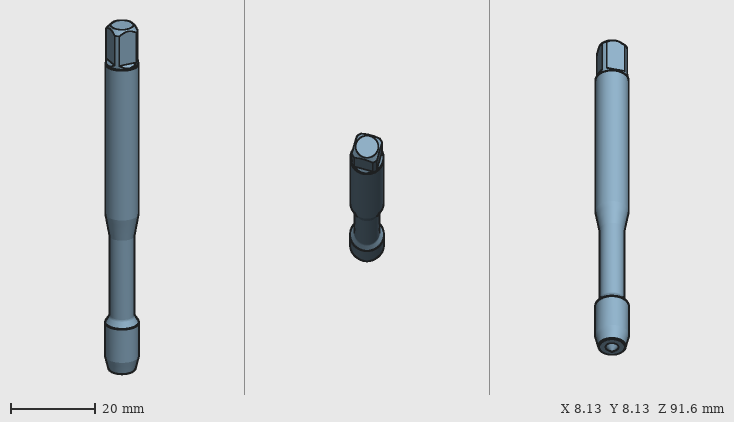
import cadquery as cq
import math


shank_diameter = 8.0
neck_diameter = 6.0
shank_end = 90.0
shank_top = 80.1
shank_chamfer_height = 0.28
shank_bottom = 40.7
neck_top = 34.95

square_size = 6.2
square_corner_diameter = 7.68
square_length = 9.0
square_runout = (square_corner_diameter - square_size) / 2
flat_count = 4
top_face_diameter = 5.4
top_chamfer_height = 1.25

head_diameter = 8.13
head_length = 12.15
lead_length = 3.5
lead_end_diameter = 6.55
head_end_chamfer = 0.25
point_height = 1.55
point_angle = 90.0

collar_height = 0.25
shoulder_angle = 32.0
shoulder_fillet = 0.8
shoulder_height = (shank_diameter - neck_diameter) / 2 / math.tan(math.radians(shoulder_angle))
neck_bottom = head_length + collar_height + shoulder_height


def revolve_profile(points):
    """Turn a half outline of (radius, height) points about the Z axis."""
    return cq.Workplane("XZ").polyline(points).close().revolve(360, (0, 0), (0, 1))


def make_flat_cutter():
    """Material removed at +X to leave one flat of the square, with its sloped runout."""
    flat = square_size / 2
    reach = square_corner_diameter / 2
    flat_bottom = shank_end - square_length
    outline = [
        (flat, shank_end),
        (flat, flat_bottom),
        (reach, flat_bottom - square_runout),
        (reach, shank_end),
    ]
    return cq.Workplane("XZ").polyline(outline).close().extrude(reach, both=True)


def make_shank():
    """Shank with its neck and shoulder below and the driving square on top."""
    body = revolve_profile([
        (0, head_length),
        (shank_diameter / 2, head_length),
        (shank_diameter / 2, head_length + collar_height),
        (neck_diameter / 2, neck_bottom),
        (neck_diameter / 2, neck_top),
        (shank_diameter / 2, shank_bottom),
        (shank_diameter / 2, shank_top - shank_chamfer_height),
        (square_corner_diameter / 2, shank_top),
        (square_corner_diameter / 2, shank_end - top_chamfer_height),
        (top_face_diameter / 2, shank_end),
        (0, shank_end),
    ])

    neck_foot = cq.selectors.BoxSelector(
        (-shank_diameter, -shank_diameter, neck_bottom - shoulder_fillet),
        (shank_diameter, shank_diameter, neck_bottom + shoulder_fillet),
        boundingbox=True,
    )
    body = body.edges(neck_foot).fillet(shoulder_fillet)

    for side in range(flat_count):
        turn = side * 360 / flat_count
        body = body.cut(make_flat_cutter().rotate((0, 0, 0), (0, 0, 1), turn))
    return body


def make_head():
    """Threaded head, shown as a plain envelope, with its tapered lead and conical point."""
    point_radius = point_height * math.tan(math.radians(point_angle / 2))
    return revolve_profile([
        (0, -point_height),
        (point_radius, 0),
        (lead_end_diameter / 2 - head_end_chamfer, 0),
        (lead_end_diameter / 2, head_end_chamfer),
        (head_diameter / 2, lead_length),
        (head_diameter / 2, head_length),
        (0, head_length),
    ])


shank = make_shank()
head = make_head()

result = cq.Compound.makeCompound([shank.solids().val(), head.solids().val()])